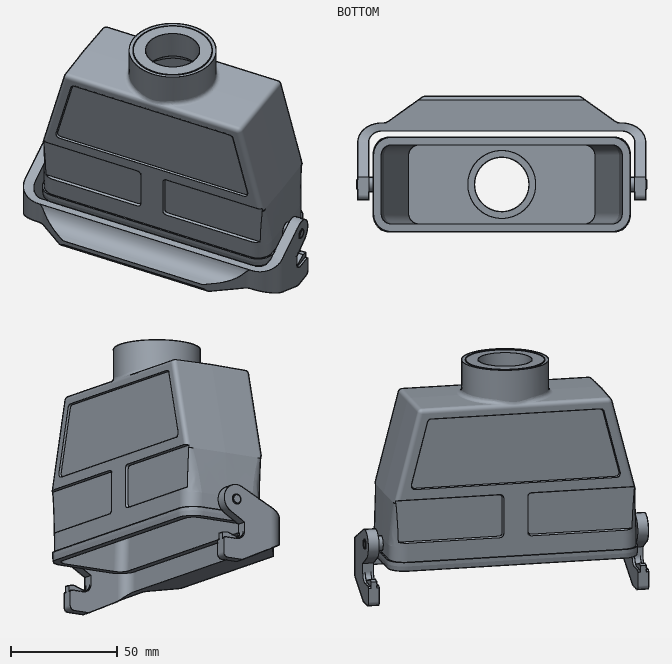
import cadquery as cq
import math

HOOD_HALF_Y = 21.65
BASE_HALF_X = 59.8
KINK_HALF_X = 58.3
TOP_HALF_X = 46.6
BASE_TOP_Z = 11.4
KINK_Z = 32.8
HOOD_TOP_Z = 77.95
CROWN = 0.3
BASE_CORNER_R = 7.5
MID_CORNER_R = 5.9
KINK_CORNER_R = 3.3
UPPER_EDGE_R = 2.2
WALL = 3.0
ROOF = 1.0
CAVITY_EDGE_R = 5.0

RIM_STEP = 0.8
RIM_TAPER_Z = 2.3
RIM_TOP_Z = 4.3
RIM_TAPER = 8.0

RECESS_R = 2.0
RECESS_TAPER = 20.0
PANEL_DEPTH = 1.0
PANEL_BOTTOM_Z = 39.4
PANEL_TOP_Z = 73.3
PANEL_MARGIN = 5.4
WINDOW_DEPTH = 1.3
WINDOW_BOTTOM_Z = 13.5
WINDOW_TOP_Z = 34.5
WINDOW_INNER_X = 5.8

NECK_D = 41.0
NECK_TOP_Z = 94.3
NECK_FILLET = 2.0
INSERT_D = 37.5
INSERT_TOP_D = 37.0
INSERT_BORE_D = 25.5
INSERT_LENGTH = 13.5
PASSAGE_D = 32.0

PIVOT_Z = 8.6
PIN_COLLAR_D = 7.0
PIN_D = 4.8
PIN_TIP_D = 4.0
PIN_TIP_X = 68.3

LEVER_HALF_X = 67.85
PLATE_INNER_X = 62.6
BAR_FRONT_Y = -29.0
BAR_BACK_Y = -25.1
BEND_START_Y = -19.8
BAR_HALF_X = 56.5
BAR_TOP_Z = 2.8
BAR_BOTTOM_Z = -8.3
EYE_R = 7.0
FOOT_Z = -20.2
FOOT_FRONT_Y = -3.5
FOOT_R = 2.3
HOOK_TIP_Y = 7.3
SLOT_FRONT_Y = -4.4
SLOT_TOP_Z = -2.0
SLOT_ARC_Z = -6.4
SLOT_R = 4.0
LIP_CHAMFER = 0.8
CATCH_SLOT_R = 3.1
CATCH_PEAK_Y = 4.5
CATCH_PEAK_Z = -7.6
CATCH_TIP_Z = -8.1
CATCH_SETBACK = 1.2

GRIP_FRONT_Y = -41.55
GRIP_FRONT_HALF_X = 36.9
GRIP_ROOT_HALF_X = 54.4
GRIP_TOP_Z = -3.8
GRIP_NOSE_Z = -6.0
GRIP_BOTTOM_FRONT_Y = -39.8
GRIP_FLAT_Y = -38.0
GRIP_CORNER_R = 2.6
GRIP_ROOT_R = 5.0


def end_lean(z):
    """Half width in X of the upper hood at height z."""
    share = (z - KINK_Z) / (HOOD_TOP_Z - KINK_Z)
    return KINK_HALF_X + share * (TOP_HALF_X - KINK_HALF_X)


def rounded_block(half_x, half_y, corner_r, bottom_z, top_z):
    return (
        cq.Workplane("XY", origin=(0, 0, bottom_z))
        .rect(2 * half_x, 2 * half_y)
        .extrude(top_z - bottom_z)
        .edges("|Z")
        .fillet(corner_r)
    )


def xz_prism(points, half_y):
    """Prism of an X-Z outline, reaching half_y to both sides of Y = 0."""
    return cq.Workplane("XZ").polyline(points).close().extrude(half_y, both=True)


def waist_section(half_x, crown, corner_r, z):
    """Horizontal section with rounded corners and end faces that rise to a ridge at Y = 0."""
    outline = [
        (-half_x, -HOOD_HALF_Y),
        (half_x, -HOOD_HALF_Y),
        (half_x + crown, 0),
        (half_x, HOOD_HALF_Y),
        (-half_x, HOOD_HALF_Y),
        (-half_x - crown, 0),
    ]
    sketch = cq.Sketch().polygon(outline + outline[:1]).vertices(">Y or <Y").fillet(corner_r)
    return sketch.moved(cq.Location(cq.Vector(0, 0, z)))


def solid_from_faces(faces):
    return cq.Workplane(cq.Solid.makeSolid(cq.Shell.makeShell(faces)))


def polygon_face(corners):
    return cq.Face.makeFromWires(cq.Wire.makePolygon(corners, close=True))


def upper_section(y, crown):
    """Corners of the hood above the kink at y; the leaning ends keep their slope for any crown."""
    kink_x = KINK_HALF_X + crown
    top_z = HOOD_TOP_Z + crown
    top_x = end_lean(top_z) + crown
    corners = [(-kink_x, KINK_Z), (kink_x, KINK_Z), (top_x, top_z), (-top_x, top_z)]
    return [cq.Vector(x, y, z) for x, z in corners]


def make_upper_hood():
    """Hood above the kink, built as the half in front of the ridge and its mirror image."""
    front = upper_section(-HOOD_HALF_Y, 0)
    ridge = upper_section(0, CROWN)
    faces = [polygon_face(front), polygon_face(ridge)]
    for i in range(len(front)):
        faces.append(polygon_face([front[i - 1], front[i], ridge[i], ridge[i - 1]]))
    half = solid_from_faces(faces)
    long_face_edges = half.faces("<Y").edges("not <Z")
    top_end_edges = half.faces(">Z").edges("not |X")
    half = long_face_edges.add(top_end_edges).fillet(UPPER_EDGE_R)
    return half.union(half.mirror("XZ"))


def make_hood_shell():
    base = rounded_block(BASE_HALF_X, HOOD_HALF_Y, BASE_CORNER_R, 0, BASE_TOP_Z)
    mid_half_x = (BASE_HALF_X + KINK_HALF_X) / 2
    mid_z = (BASE_TOP_Z + KINK_Z) / 2
    waist = cq.Workplane("XY").placeSketch(
        waist_section(BASE_HALF_X, 0, BASE_CORNER_R, BASE_TOP_Z),
        waist_section(mid_half_x, CROWN / 2, MID_CORNER_R, mid_z),
        waist_section(KINK_HALF_X, CROWN, KINK_CORNER_R, KINK_Z),
    ).loft()
    return base.union(waist).union(make_upper_hood())


def make_rim():
    half_x = BASE_HALF_X + RIM_STEP
    half_y = HOOD_HALF_Y + RIM_STEP
    corner_r = BASE_CORNER_R + RIM_STEP
    straight = rounded_block(half_x, half_y, corner_r, RIM_TAPER_Z, RIM_TOP_Z)
    tapered = straight.faces("<Z").wires().toPending().workplane().extrude(
        RIM_TAPER_Z, taper=RIM_TAPER, combine=False
    )
    return straight.union(tapered)


def make_neck(hood):
    neck = (
        cq.Workplane("XY", origin=(0, 0, HOOD_TOP_Z - 2 * UPPER_EDGE_R))
        .circle(NECK_D / 2)
        .extrude(NECK_TOP_Z - HOOD_TOP_Z + 2 * UPPER_EDGE_R)
    )
    joined = hood.union(neck)
    reach = NECK_D / 2 + NECK_FILLET
    seam_zone = cq.selectors.BoxSelector(
        (-reach, -reach, HOOD_TOP_Z - UPPER_EDGE_R),
        (reach, reach, HOOD_TOP_Z + 2 * CROWN),
        boundingbox=True,
    )
    return joined.edges(seam_zone).edges("not %LINE").fillet(NECK_FILLET)


def make_cavity():
    top_z = HOOD_TOP_Z - ROOF
    outline = [
        (-(BASE_HALF_X - WALL), 0),
        (-(KINK_HALF_X - WALL), KINK_Z),
        (-(end_lean(top_z) - WALL), top_z),
        (end_lean(top_z) - WALL, top_z),
        (KINK_HALF_X - WALL, KINK_Z),
        (BASE_HALF_X - WALL, 0),
    ]
    cavity = xz_prism(outline, HOOD_HALF_Y - WALL)
    upright_edges = cavity.faces("|Y").edges("not |X")
    return upright_edges.fillet(CAVITY_EDGE_R)


def recess(points, depth):
    """Recess with drafted walls cut into the front face, outline in X-Z."""
    outline = cq.Workplane("XZ", origin=(0, -HOOD_HALF_Y, 0))
    sketch = cq.Sketch().polygon(points + points[:1]).vertices().fillet(RECESS_R)
    return outline.placeSketch(sketch).extrude(-depth, taper=RECESS_TAPER)


def make_recesses():
    bottom_x = end_lean(PANEL_BOTTOM_Z) - PANEL_MARGIN
    top_x = end_lean(PANEL_TOP_Z) - PANEL_MARGIN
    panel = recess(
        [
            (-bottom_x, PANEL_BOTTOM_Z),
            (bottom_x, PANEL_BOTTOM_Z),
            (top_x, PANEL_TOP_Z),
            (-top_x, PANEL_TOP_Z),
        ],
        PANEL_DEPTH,
    )
    window_outer_x = BASE_HALF_X + 2 * RECESS_R
    window = recess(
        [
            (WINDOW_INNER_X, WINDOW_BOTTOM_Z),
            (window_outer_x, WINDOW_BOTTOM_Z),
            (window_outer_x, WINDOW_TOP_Z),
            (WINDOW_INNER_X, WINDOW_TOP_Z),
        ],
        WINDOW_DEPTH,
    )
    front = panel.union(window).union(window.mirror("YZ"))
    return front.union(front.mirror("XZ"))


def make_pin(side):
    """Pivot pin with its collar, on the end face at side * X."""
    chamfer = (PIN_D - PIN_TIP_D) / 2
    root_x = BASE_HALF_X - WALL
    pin = (
        cq.Workplane("YZ", origin=(root_x, 0, PIVOT_Z))
        .circle(PIN_D / 2)
        .extrude(PIN_TIP_X - root_x)
        .faces(">X")
        .chamfer(chamfer)
    )
    collar = (
        cq.Workplane("YZ", origin=(root_x, 0, PIVOT_Z))
        .circle(PIN_COLLAR_D / 2)
        .extrude(PLATE_INNER_X - root_x)
    )
    pin = pin.union(collar)
    return pin if side > 0 else pin.mirror("YZ")


def make_hood():
    hood = make_neck(make_hood_shell()).union(make_rim())
    hood = hood.cut(make_cavity()).cut(make_recesses())
    seat_z = NECK_TOP_Z - INSERT_LENGTH
    seat = cq.Workplane("XY", origin=(0, 0, seat_z)).circle(INSERT_D / 2).extrude(INSERT_LENGTH)
    passage_bottom = HOOD_TOP_Z - 2 * WALL
    passage = (
        cq.Workplane("XY", origin=(0, 0, passage_bottom))
        .circle(PASSAGE_D / 2)
        .extrude(seat_z - passage_bottom)
    )
    hood = hood.cut(seat).cut(passage)
    for side in (-1, 1):
        hood = hood.union(make_pin(side))
    return hood


def make_insert():
    chamfer = (INSERT_D - INSERT_TOP_D) / 2
    return (
        cq.Workplane("XY", origin=(0, 0, NECK_TOP_Z - INSERT_LENGTH))
        .circle(INSERT_D / 2)
        .extrude(INSERT_LENGTH)
        .faces(">Z")
        .chamfer(chamfer)
        .faces(">Z")
        .workplane()
        .hole(INSERT_BORE_D)
    )


def eye_tangent(y, z, turn):
    """Point where the tangent from (y, z) touches the eye; turn (+1 or -1) picks which one."""
    distance = math.hypot(y, z - PIVOT_Z)
    direction = math.atan2(z - PIVOT_Z, y) + turn * math.acos(EYE_R / distance)
    return (EYE_R * math.cos(direction), PIVOT_Z + EYE_R * math.sin(direction))


def plate_outline(slot_r, catch):
    """Side outline in Y-Z from the hook to the front bar; the plates use it up to the bends."""
    front_touch = eye_tangent(BAR_FRONT_Y, BAR_TOP_Z, -1)
    back_touch = eye_tangent(SLOT_FRONT_Y, SLOT_TOP_Z, 1)
    diagonal = slot_r * math.sqrt(0.5)
    arc_y = SLOT_FRONT_Y + slot_r
    outline = (
        cq.Workplane("YZ")
        .moveTo(BEND_START_Y, slope_z(FOOT_FRONT_Y, FOOT_Z, BAR_BOTTOM_Z))
        .lineTo(BEND_START_Y, slope_z(*front_touch, BAR_TOP_Z))
        .lineTo(*front_touch)
        .threePointArc((EYE_R * math.sqrt(0.5), PIVOT_Z + EYE_R * math.sqrt(0.5)), back_touch)
        .lineTo(SLOT_FRONT_Y, SLOT_TOP_Z)
        .lineTo(SLOT_FRONT_Y, SLOT_ARC_Z)
        .threePointArc((arc_y - diagonal, SLOT_ARC_Z - diagonal), (arc_y, SLOT_ARC_Z - slot_r))
    )
    if catch:
        outline = outline.lineTo(CATCH_PEAK_Y, CATCH_PEAK_Z).lineTo(HOOK_TIP_Y, CATCH_TIP_Z)
    else:
        lip_z = SLOT_ARC_Z - slot_r
        outline = outline.lineTo(HOOK_TIP_Y - LIP_CHAMFER, lip_z).lineTo(HOOK_TIP_Y, lip_z - LIP_CHAMFER)
    return (
        outline.lineTo(HOOK_TIP_Y, FOOT_Z + FOOT_R)
        .radiusArc((HOOK_TIP_Y - FOOT_R, FOOT_Z), FOOT_R)
        .lineTo(FOOT_FRONT_Y, FOOT_Z)
        .close()
    )


def slope_z(start_y, start_z, bar_z):
    """Height at the bend start of the straight edge from (start_y, start_z) to the bar's front."""
    share = (BEND_START_Y - start_y) / (BAR_FRONT_Y - start_y)
    return start_z + share * (bar_z - start_z)


def make_plate():
    """Plate at +X with its eye, hook and the thinner catch in the hook."""
    thickness = LEVER_HALF_X - PLATE_INNER_X
    plate = plate_outline(SLOT_R, catch=False).extrude(thickness)
    rail = plate_outline(CATCH_SLOT_R, catch=True).extrude(thickness - 2 * CATCH_SETBACK)
    return plate.union(rail.translate((CATCH_SETBACK, 0, 0))).translate((PLATE_INNER_X, 0, 0))


def bend_edge(plate_x, bar_y, start_z, end_z):
    """Quarter ellipse from the plate to the bar, in a plane that tilts from start_z to end_z."""
    reach_y = bar_y - BEND_START_Y
    rise = end_z - start_z
    to_bar = cq.Vector(0, reach_y, rise)
    outward = cq.Vector(1, 0, 0)
    return cq.Edge.makeEllipse(
        plate_x - BAR_HALF_X,
        to_bar.Length,
        cq.Vector(BAR_HALF_X, BEND_START_Y, start_z),
        outward.cross(to_bar),
        outward,
        0,
        90,
    )


def make_bend():
    """Bend at +X: it joins plate and bar, and its height shrinks evenly from one to the other."""
    front_touch = eye_tangent(BAR_FRONT_Y, BAR_TOP_Z, -1)
    top_z = slope_z(*front_touch, BAR_TOP_Z)
    bottom_z = slope_z(FOOT_FRONT_Y, FOOT_Z, BAR_BOTTOM_Z)
    outer_top = bend_edge(LEVER_HALF_X, BAR_FRONT_Y, top_z, BAR_TOP_Z)
    outer_bottom = bend_edge(LEVER_HALF_X, BAR_FRONT_Y, bottom_z, BAR_BOTTOM_Z)
    inner_top = bend_edge(PLATE_INNER_X, BAR_BACK_Y, top_z, BAR_TOP_Z)
    inner_bottom = bend_edge(PLATE_INNER_X, BAR_BACK_Y, bottom_z, BAR_BOTTOM_Z)
    ring = [outer_top, outer_bottom, inner_bottom, inner_top]
    faces = [cq.Face.makeRuledSurface(ring[i - 1], ring[i]) for i in range(len(ring))]
    for end in (0, 1):
        faces.append(polygon_face([edge.positionAt(end) for edge in ring]))
    return solid_from_faces(faces)


def make_grip():
    """Finger grip: concave on top, narrowing to the front, flat below."""
    rise = BAR_TOP_Z - GRIP_TOP_Z
    reach = BAR_FRONT_Y - GRIP_FLAT_Y
    arc_r = (rise ** 2 + reach ** 2) / (2 * rise)
    mid_z = (BAR_TOP_Z + BAR_BOTTOM_Z) / 2
    side = (
        cq.Workplane("YZ", origin=(-BAR_HALF_X, 0, 0))
        .moveTo(BAR_BACK_Y, BAR_BOTTOM_Z)
        .lineTo(BAR_BACK_Y, BAR_TOP_Z)
        .lineTo(BAR_FRONT_Y, BAR_TOP_Z)
        .radiusArc((GRIP_FLAT_Y, GRIP_TOP_Z), arc_r)
        .lineTo(GRIP_FRONT_Y, GRIP_TOP_Z)
        .lineTo(GRIP_FRONT_Y, GRIP_NOSE_Z)
        .lineTo(GRIP_BOTTOM_FRONT_Y, BAR_BOTTOM_Z)
        .close()
        .extrude(2 * BAR_HALF_X)
    )
    plan = (
        cq.Workplane("XY", origin=(0, 0, BAR_BOTTOM_Z))
        .polyline(
            [
                (-BAR_HALF_X, BAR_BACK_Y),
                (-BAR_HALF_X, BAR_FRONT_Y),
                (-GRIP_ROOT_HALF_X, BAR_FRONT_Y),
                (-GRIP_FRONT_HALF_X, GRIP_FRONT_Y),
                (GRIP_FRONT_HALF_X, GRIP_FRONT_Y),
                (GRIP_ROOT_HALF_X, BAR_FRONT_Y),
                (BAR_HALF_X, BAR_FRONT_Y),
                (BAR_HALF_X, BAR_BACK_Y),
            ]
        )
        .close()
        .extrude(BAR_TOP_Z - BAR_BOTTOM_Z)
    )
    plan = plan.edges("|Z and <Y").fillet(GRIP_CORNER_R)
    for side_x in (-GRIP_ROOT_HALF_X, GRIP_ROOT_HALF_X):
        root_corner = cq.selectors.NearestToPointSelector((side_x, BAR_FRONT_Y, mid_z))
        plan = plan.edges("|Z").edges(root_corner).fillet(GRIP_ROOT_R)
    return side.intersect(plan)


def make_lever():
    half = make_plate().union(make_bend())
    lever = make_grip().union(half).union(half.mirror("YZ"))
    pivot_hole = (
        cq.Workplane("YZ", origin=(-LEVER_HALF_X, 0, PIVOT_Z)).circle(PIN_D / 2).extrude(2 * LEVER_HALF_X)
    )
    return lever.cut(pivot_hole)


hood = make_hood()
insert = make_insert()
lever = make_lever()
bodies = [hood, insert, lever]
result = cq.Compound.makeCompound([body.solids().val() for body in bodies])